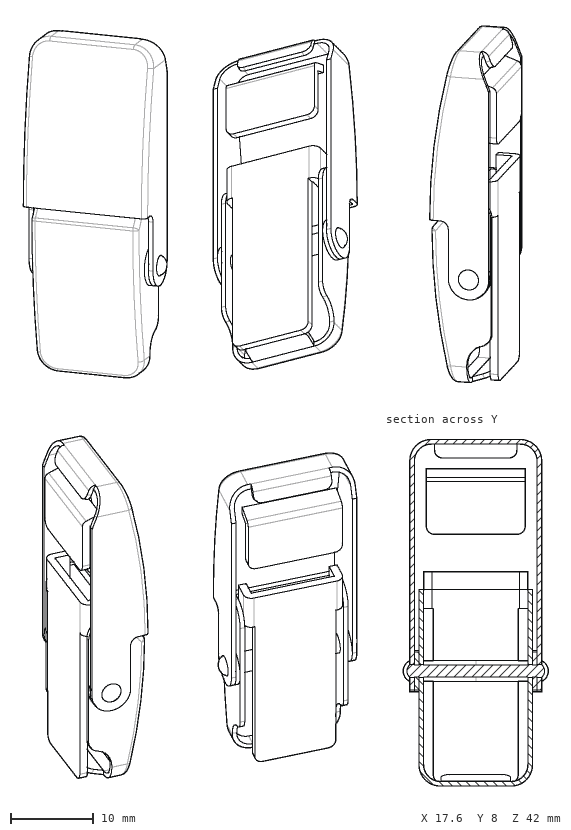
import cadquery as cq
import math


sheet = 0.6
back_y = 2.5
plate_back_y = 3.0
plate_thickness = 1.0
crown_y = -5.0
crown_radius = 79.4
corner_radius = 2.6
lug_radius = 2.5

lever_width = 16.0
lever_top_z = 28.05
lever_bottom_z = 7.2
lever_cut_y = 0.9
lever_cut_z = 23.85
leg_fillet = 1.0
tip_radius = 1.0
lever_lip_width = 10.0
lever_lip_tip_z = 25.8

housing_width = 13.78
housing_bottom_z = -13.95
housing_crown_z = 5.75
slope_rise = 1.25
slope_end_y = -1.7
shoulder_radius = 2.5
hollow_start_z = -7.1
hollow_end_z = -11.15
hollow_radius = 2.65
foot_y = -0.5
housing_lip_width = 8.4
housing_lip_tip_y = 1.95
housing_lip_rise = 0.35

pin_length = 17.6
pin_radius = 1.25

hook_width = 12.0
hook_top_z = 23.85
hook_bottom_z = 16.55
hook_flange_reach_y = 0.65
base_width = 10.35
base_top_z = 12.05
base_bottom_z = -13.52
ear_width = housing_width - 2 * sheet
ear_bottom_z = 7.55
ear_end_y = 0.0
plate_corner = 1.0
ear_bend = 1.0
hook_bend = 0.7
hook_flange_rise = 0.35


def crown_at(z, tangent_z, inset=0.0):
    """Y of the curved front at height z, optionally inset into the shell."""
    radius = crown_radius - inset
    return crown_y + crown_radius - math.sqrt(radius**2 - (z - tangent_z) ** 2)


def slab(profile, width):
    """Extrude a YZ profile symmetrically about X = 0."""
    return profile.extrude(width / 2, both=True)


def side_profile():
    return cq.Workplane("YZ")


def polygon(points):
    return side_profile().polyline(points).close()


def block_between(width, front_y, rear_y, bottom_z, top_z):
    centre = (0, (front_y + rear_y) / 2, (bottom_z + top_z) / 2)
    return cq.Workplane("XY").box(width, rear_y - front_y, top_z - bottom_z).translate(centre)


def round_tip(strip, tip, width):
    """Round the two side corners at the tip (y, z) of a lip."""
    for side in (-1, 1):
        corner = (side * width / 2, *tip)
        strip = strip.edges(cq.selectors.NearestToPointSelector(corner)).fillet(tip_radius)
    return strip


def drill_for_pin(body):
    bore = slab(side_profile().circle(pin_radius), pin_length)
    return body.cut(bore)


def lever_block(width, top_z, bottom_z, inset, corner):
    """Closed front-and-top block; the lever is one such block less a smaller one."""
    middle_z = (top_z + bottom_z) / 2
    front = [(crown_at(z, lever_bottom_z, inset), z) for z in (bottom_z, middle_z, top_z)]
    profile = (
        side_profile()
        .moveTo(back_y, bottom_z)
        .lineTo(*front[0])
        .threePointArc(front[1], front[2])
        .lineTo(back_y, top_z)
        .close()
    )
    return slab(profile, width).edges("|Y and >Z").fillet(corner)


def make_lever():
    body = lever_block(lever_width, lever_top_z, lever_bottom_z, 0, corner_radius)
    body = body.faces("<Y").edges("not <Z").fillet(sheet)

    legs = slab(
        side_profile()
        .moveTo(back_y, lever_bottom_z)
        .lineTo(back_y, 0)
        .threePointArc((0, -lug_radius), (-lug_radius, 0))
        .lineTo(-lug_radius, lever_bottom_z - leg_fillet)
        .radiusArc((-lug_radius - leg_fillet, lever_bottom_z), -leg_fillet)
        .close(),
        lever_width,
    )
    body = body.union(legs)

    inner_width = lever_width - 2 * sheet
    cavity = lever_block(
        inner_width, lever_top_z - sheet, lever_bottom_z, sheet, corner_radius - sheet
    )
    below = block_between(inner_width, crown_y, back_y, -lug_radius, lever_bottom_z)
    body = body.cut(cavity).cut(below)

    corner_cut = [(lever_cut_y, lever_top_z), (back_y, lever_cut_z), (back_y, lever_top_z)]
    body = body.cut(slab(polygon(corner_cut), lever_width))

    return drill_for_pin(body.union(lever_lip()))


def lever_lip():
    """Lip folded down from the lever top; its inner face lies along the slanted corner."""
    angle = math.atan2(lever_top_z - lever_cut_z, back_y - lever_cut_y)
    along_y = math.cos(angle)
    along_z = -math.sin(angle)
    bend = sheet / (1 - along_y)
    bend_end = (lever_cut_y + bend * math.sin(angle), lever_top_z - sheet)
    length = (lever_top_z - lever_lip_tip_z) / math.sin(angle)
    inner_tip = (lever_cut_y + length * along_y, lever_top_z + length * along_z)
    outer_tip = (inner_tip[0] - sheet * along_z, inner_tip[1] + sheet * along_y)
    strip = slab(
        side_profile()
        .moveTo(lever_cut_y, lever_top_z)
        .radiusArc(bend_end, bend)
        .lineTo(*outer_tip)
        .lineTo(*inner_tip)
        .close(),
        lever_lip_width,
    )
    tip = ((inner_tip[0] + outer_tip[0]) / 2, (inner_tip[1] + outer_tip[1]) / 2)
    return round_tip(strip, tip, lever_lip_width)


def housing_block(width, bottom_z, inset, corner):
    """Closed block with a curved front and sloped top, optionally inset by a wall."""
    slope_drop = inset * math.hypot(1, slope_rise)
    ridge_z = housing_crown_z + inset * slope_rise - slope_drop
    ridge_y = crown_at(ridge_z, housing_crown_z, inset)
    top_z = housing_crown_z + slope_rise * (slope_end_y - crown_y)
    top_y = slope_end_y + slope_drop / slope_rise
    middle_z = (ridge_z + bottom_z) / 2
    profile = (
        side_profile()
        .moveTo(back_y, bottom_z)
        .lineTo(crown_at(bottom_z, housing_crown_z, inset), bottom_z)
        .threePointArc((crown_at(middle_z, housing_crown_z, inset), middle_z), (ridge_y, ridge_z))
        .lineTo(top_y, top_z)
        .lineTo(back_y, top_z)
        .close()
    )
    return slab(profile, width).edges("|Y and <Z").fillet(corner)


def hollow_cut():
    """S-shaped recess in the lower back edge: a convex arc running into a concave one."""
    depth = back_y - foot_y
    height = hollow_start_z - hollow_end_z
    radius_sum = (depth**2 + height**2) / (2 * depth)
    convex_radius = radius_sum - hollow_radius
    share = convex_radius / radius_sum
    meeting = (back_y - depth * share, hollow_start_z - height * share)
    profile = (
        side_profile()
        .moveTo(back_y, hollow_start_z)
        .radiusArc(meeting, convex_radius)
        .radiusArc((foot_y, hollow_end_z), -hollow_radius)
        .lineTo(foot_y, housing_bottom_z)
        .lineTo(back_y, housing_bottom_z)
        .close()
    )
    return slab(profile, housing_width)


def housing_lip():
    """Lip running back and up from the housing bottom."""
    stretch = math.hypot(1, housing_lip_rise)
    lower_tip_z = housing_bottom_z + (housing_lip_tip_y - foot_y) * housing_lip_rise
    upper_tip = (
        housing_lip_tip_y - sheet * housing_lip_rise / stretch,
        lower_tip_z + sheet / stretch,
    )
    outline = [
        (foot_y, housing_bottom_z),
        (housing_lip_tip_y, lower_tip_z),
        upper_tip,
        (foot_y, housing_bottom_z + sheet * stretch),
    ]
    strip = slab(polygon(outline), housing_lip_width)
    tip = ((housing_lip_tip_y + upper_tip[0]) / 2, (lower_tip_z + upper_tip[1]) / 2)
    return round_tip(strip, tip, housing_lip_width)


def make_housing():
    body = housing_block(housing_width, housing_bottom_z, 0, corner_radius)
    front_rim = body.faces("<Y").edges()
    slope_sides = body.edges(cq.selectors.ParallelDirSelector(cq.Vector(0, 1, slope_rise)))
    body = front_rim.add(slope_sides.vals()).fillet(sheet)
    body = body.edges("|X and >Y and >Z").fillet(shoulder_radius)

    cavity = housing_block(
        housing_width - 2 * sheet, housing_bottom_z + sheet, sheet, corner_radius - sheet
    )
    body = body.cut(cavity).cut(hollow_cut())
    return drill_for_pin(body.union(housing_lip()))


def make_pin():
    shaft = slab(side_profile().circle(pin_radius), lever_width)
    dome_height = (pin_length - lever_width) / 2
    half = lever_width / 2
    tip = pin_length / 2
    dome_radius = (pin_radius**2 + dome_height**2) / (2 * dome_height)
    dome = (
        cq.Workplane("XY")
        .moveTo(half, 0)
        .lineTo(tip, 0)
        .radiusArc((half, pin_radius), -dome_radius)
        .close()
        .revolve(360, (0, 0), (1, 0))
    )
    return shaft.union(dome).union(dome.mirror("YZ"))


def make_washer(side):
    """Washer filling the gap between a lever leg and the housing wall."""
    inner_x = housing_width / 2
    outer_x = lever_width / 2 - sheet
    ring = cq.Workplane("YZ", origin=(side * inner_x, 0, 0)).circle(lug_radius).circle(pin_radius)
    return ring.extrude(side * (outer_x - inner_x))


def make_hook_plate():
    front_y = plate_back_y - plate_thickness
    flange_z = hook_top_z + (back_y - hook_flange_reach_y) * hook_flange_rise
    bend_z = hook_top_z - (plate_back_y - back_y) * hook_flange_rise
    drop = plate_thickness * math.hypot(1, hook_flange_rise)
    inner_bend_z = bend_z + plate_thickness * hook_flange_rise - drop
    outline = [
        (plate_back_y, hook_bottom_z),
        (plate_back_y, bend_z),
        (hook_flange_reach_y, flange_z),
        (hook_flange_reach_y, flange_z - drop),
        (front_y, inner_bend_z),
        (front_y, hook_bottom_z),
    ]
    plate = slab(polygon(outline), hook_width)
    plate = plate.edges("|X and >Y and (not <Z)").fillet(hook_bend)
    return plate.edges("|Y and <Z").fillet(plate_corner)


def make_base_plate():
    front_y = plate_back_y - plate_thickness
    plate = block_between(base_width, front_y, plate_back_y, base_bottom_z, base_top_z)
    plate = plate.edges("|Y and <Z").fillet(plate_corner)
    ears = block_between(ear_width, ear_end_y, plate_back_y, ear_bottom_z, base_top_z)
    ears = ears.edges("|Z and >Y").fillet(ear_bend)
    between = block_between(
        ear_width - 2 * plate_thickness, ear_end_y, front_y, ear_bottom_z, base_top_z
    )
    return plate.union(ears.cut(between))


lever = make_lever()
housing = make_housing()
pin = make_pin()
washers = [make_washer(side) for side in (-1, 1)]
hook_plate = make_hook_plate()
base_plate = make_base_plate()

result = cq.Compound.makeCompound(
    [
        lever.val(),
        housing.val(),
        pin.val(),
        *[washer.val() for washer in washers],
        hook_plate.val(),
        base_plate.val(),
    ]
)